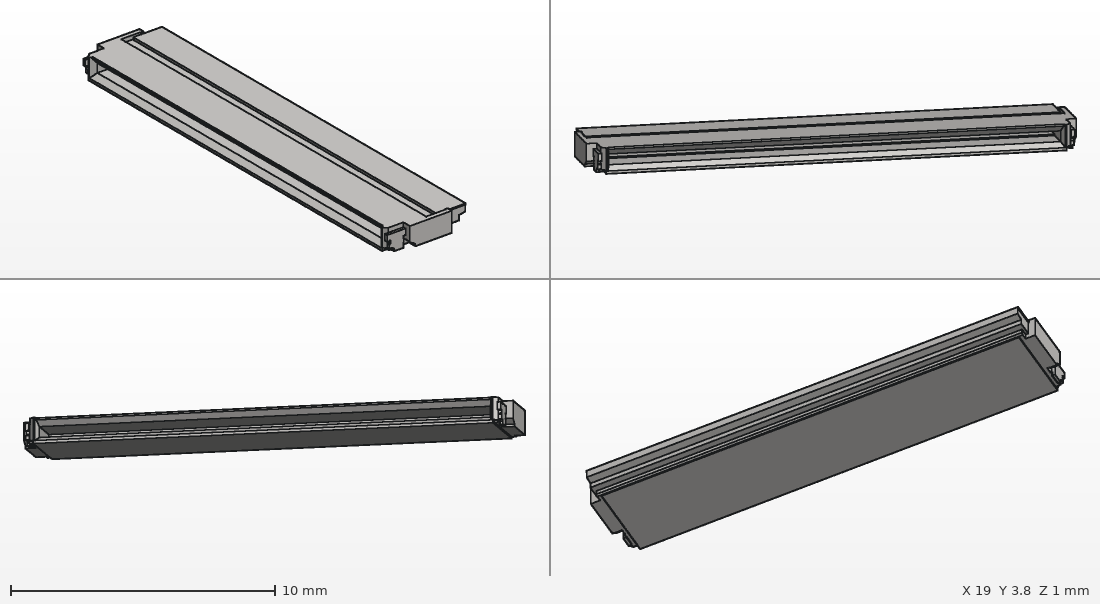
import cadquery as cq

length = 19.0
depth = 3.8
height = 1.0
half_length = length / 2

core_half = 9.1
underside_z = 0.05
core_rear_y = 3.23
core_rear_top_z = 0.28
core_rear_chamfer_z = 0.11
core_rear_chamfer = 0.08
pad_half = 8.93
corner_chamfer_x = core_half - pad_half
corner_chamfer_y = 0.17
lip_step_z = 0.13
flange_half = 9.14

block_front_y = 0.9
block_rear_y = 2.93
block_heel_y = 1.15
block_heel_top_z = 0.15
block_slant_top_z = 0.32

lever_half = 9.22
lever_front_y = 2.41
lever_top_z = 0.93
lever_plate_half = 9.23
lever_plate_bottom_z = lever_top_z - 0.05
lever_tip_z = 0.57
lever_step_y = 3.5
lever_step_z = 0.51

recess_half = 9.27
recess_front_y = 1.86
recess_rear_y = 2.81
recess_floor_z = 0.82

mouth_half = 8.87
mouth_bottom_z = 0.11
mouth_top_z = 1.06
throat_half = 8.75
throat_bottom_z = 0.28
throat_top_z = 0.7
funnel_depth = 0.3
slot_end_y = 1.9
ledge_front_y = 1.33
ledge_height = 0.05
lip_half = 8.82
lip_setback = 0.11
lip_bottom_z = 0.91

tab_top_z = 0.8
tab_leg_rear_y = 0.8
tab_leg_front_y = 0.35
tab_notch_top_z = 0.51
tab_notch_mid_z = 0.4
tab_notch_bottom_z = 0.17
tab_notch_y = 0.17
tab_hook_y = 0.11
tab_hook_bevel = 0.05
tab_outer = 9.23


def side_prism(points, x_start, x_end):
    """Extrude a closed (y, z) outline between two X positions."""
    return cq.Workplane("YZ", origin=(x_start, 0, 0)).polyline(points).close().extrude(x_end - x_start)


def spanning_box(half_width, y_start, y_end, z_start, z_end):
    """Box centred on X = 0 that spans the given Y and Z ranges."""
    size = (2 * half_width, y_end - y_start, z_end - z_start)
    return cq.Workplane("XY").box(*size, centered=(True, False, False)).translate((0, y_start, z_start))


def both_ends(solid):
    """Pair a solid with its mirror image at the other end of the part."""
    return solid.union(solid.mirror("YZ"))


def make_core():
    core = spanning_box(core_half, 0, block_rear_y, underside_z, height)
    rear_foot = side_prism(
        [
            (block_rear_y, underside_z),
            (core_rear_y - core_rear_chamfer, underside_z),
            (core_rear_y, core_rear_chamfer_z),
            (core_rear_y, core_rear_top_z),
            (block_rear_y, core_rear_top_z),
        ],
        -core_half,
        core_half,
    )
    flange = spanning_box(flange_half, corner_chamfer_y, block_front_y, underside_z, lip_step_z)
    pad = spanning_box(pad_half, 0, core_rear_y - core_rear_chamfer, 0, underside_z)
    return core.union(rear_foot).union(flange).union(pad)


def make_end_block():
    outline = [
        (block_front_y, height),
        (block_rear_y, height),
        (block_rear_y, underside_z),
        (block_heel_y, underside_z),
        (block_heel_y, block_heel_top_z),
        (block_front_y, block_slant_top_z),
    ]
    return side_prism(outline, core_half, half_length)


def make_lever():
    outline = [
        (lever_front_y, core_rear_top_z),
        (lever_step_y, core_rear_top_z),
        (lever_step_y, lever_step_z),
        (depth, lever_tip_z),
        (depth, lever_top_z),
        (lever_front_y, lever_top_z),
    ]
    lever = side_prism(outline, -lever_half, lever_half)
    plate = spanning_box(lever_plate_half, lever_front_y, depth, lever_plate_bottom_z, lever_top_z)
    return lever.union(plate)


def make_recess():
    """Open recess ahead of and beside the lever, plus a narrower gap for the plate behind it."""
    recess = spanning_box(recess_half, recess_front_y, recess_rear_y, recess_floor_z, height)
    plate_gap = spanning_box(lever_plate_half, recess_rear_y, block_rear_y, lever_plate_bottom_z, height)
    return recess.union(plate_gap)


def make_mouth():
    mouth_height = mouth_top_z - mouth_bottom_z
    throat_height = throat_top_z - throat_bottom_z
    mouth_mid_z = (mouth_top_z + mouth_bottom_z) / 2
    throat_mid_z = (throat_top_z + throat_bottom_z) / 2
    funnel = (
        cq.Workplane("XZ", origin=(0, 0, mouth_mid_z))
        .rect(2 * mouth_half, mouth_height)
        .workplane(offset=-funnel_depth)
        .center(0, throat_mid_z - mouth_mid_z)
        .rect(2 * throat_half, throat_height)
        .loft(ruled=True)
    )
    slot = spanning_box(throat_half, funnel_depth, ledge_front_y, throat_bottom_z, throat_top_z)
    ledge_z = throat_bottom_z + ledge_height
    slot_rear = spanning_box(throat_half, ledge_front_y, slot_end_y, ledge_z, throat_top_z)
    return funnel.union(slot).union(slot_rear)


def make_lip_setback():
    """Stop the upper lip short of the lower one."""
    return spanning_box(lip_half, 0, lip_setback, lip_bottom_z, height)


def make_corner_relief():
    """Bevel on the front corner, with a square notch below it at the lower lip."""
    bevel = (
        cq.Workplane("XY")
        .polyline([(core_half, 0), (pad_half, 0), (core_half, corner_chamfer_y)])
        .close()
        .extrude(height)
    )
    notch_size = (corner_chamfer_x, corner_chamfer_y, lip_step_z)
    notch = cq.Workplane("XY").box(*notch_size, centered=False).translate((pad_half, 0, 0))
    return bevel.union(notch)


def make_tab():
    outline = [
        (0, tab_top_z),
        (block_front_y, tab_top_z),
        (block_front_y, tab_notch_top_z),
        (tab_leg_rear_y, tab_notch_top_z),
        (tab_leg_rear_y, 0),
        (tab_leg_front_y, 0),
        (tab_leg_front_y, tab_notch_bottom_z - tab_hook_bevel),
        (tab_leg_front_y - tab_hook_bevel, tab_notch_bottom_z),
        (tab_hook_y, tab_notch_bottom_z),
        (tab_hook_y, tab_notch_mid_z - tab_hook_bevel),
        (tab_notch_y, tab_notch_mid_z),
        (tab_notch_y, tab_notch_top_z),
        (0, tab_notch_top_z),
    ]
    return side_prism(outline, core_half, tab_outer)


housing = make_core().union(both_ends(make_end_block()))
housing = housing.cut(make_recess()).cut(make_mouth()).cut(make_lip_setback())
housing = housing.cut(both_ends(make_corner_relief()))
result = housing.union(make_lever()).union(both_ends(make_tab()))